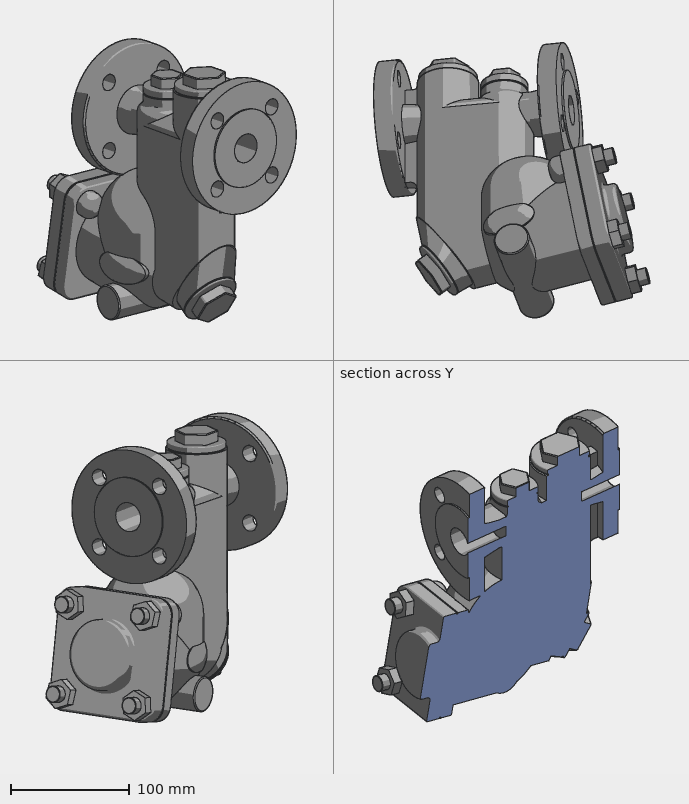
import cadquery as cq
import math

FACE_TO_FACE = 160.0

FLANGE_DIA = 115.0
FLANGE_THICKNESS = 16.5
FLANGE_EDGE_FILLET = 1.5
RAISED_FACE_DIA = 68.0
RAISED_FACE_HEIGHT = 1.6
BOLT_CIRCLE_DIA = 85.0
BOLT_HOLE_DIA = 14.0
BOLT_HOLE_COUNT = 4
BORE_DIA = 25.0
BORE_DEPTH = 40.0
FLANGE_BACK = RAISED_FACE_HEIGHT + FLANGE_THICKNESS

INLET_NECK_FLANGE_RADIUS = 21.3
INLET_NECK_COLUMN_RADIUS = 19.0
OUTLET_NECK_FLANGE_RADIUS = 19.5
OUTLET_NECK_COLUMN_RADIUS = 14.5

RIB_THICKNESS = 9.4
RIB_TOP = 33.5
RIB_BOTTOM = -57.0
RIB_TOP_FILLET = 2.0
RIB_BOTTOM_FILLET = 6.0

INLET_COLUMN_X = 57.7
INLET_COLUMN_RADIUS = 25.0
INLET_SHOULDER_BOTTOM = 7.8
INLET_SHOULDER_MIDDLE = 13.8
INLET_SHOULDER_TOP = 17.2
INLET_SHOULDER_MIDDLE_RADIUS = 22.0
INLET_TOP_RADIUS = 20.0
INLET_COLUMN_TOP = 24.4
OUTLET_COLUMN_X = 106.0
OUTLET_COLUMN_RADIUS = 26.0
OUTLET_COLUMN_TOP = 38.7
WEB_BOTTOM = -133.0
WEB_CROWN_HEIGHT = 14.5

SMALL_COLLAR_HEIGHT = 7.2
SMALL_HEX_ACROSS_FLATS = 24.0
LARGE_COLLAR_DIA = 50.0
LARGE_COLLAR_HEIGHT = 5.9
LARGE_HEX_ACROSS_FLATS = 32.0
HEX_HEIGHT = 9.4
HEX_CORNER_FILLET = 2.2
HEX_TOP_CHAMFER = 0.8
GASKET_HEIGHT = 0.8
GASKET_INSET = 0.8
COLLAR_FILLET = 1.0

BODY_RADIUS = 44.0
BODY_X = 36.3
DOME_Z = -91.8
TILT = 10.0
BODY_CENTRE_TO_JOINT = 57.3
BODY_CENTRE_Z = -124.6
OUTLET_DUCT_RADIUS = 26.7

BULGE_X = 46.0
BULGE_HALF_LENGTH = 23.0
BULGE_HALF_HEIGHT = 13.3
BULGE_REACH = 46.7
BULGE_LIP_RADIUS = 43.0
BULGE_TILT = 5.0

DRAIN_DIA = 30.0
DRAIN_X = 39.9
DRAIN_Z = -155.0
DRAIN_FRONT_Y = -50.0
DRAIN_BACK_Y = 57.98
DRAIN_CHAMFER = 1.0

COVER_SIZE = 105.0
COVER_CORNER_RADIUS = 14.0
COVER_THICKNESS = 14.3
COVER_EDGE_FILLET = 1.8
BODY_FLANGE_THICKNESS = 12.0
JOINT_GAP = 1.0
COVER_BOSS_DIA = 60.0
COVER_BOSS_HEIGHT = 11.2
COVER_BOSS_FILLET = 3.0
STUD_SPACING = 76.0
STUD_DIA = 14.0
STUD_PROJECTION = 8.5
STUD_CHAMFER = 0.5
NUT_ACROSS_FLATS = 22.0
NUT_HEIGHT = 8.5
NUT_TURN = 38.0
LUG_RADIUS = 11.6
LUG_LENGTH = 25.0
LUG_FILLET = 8.0

STRAINER_TILT = 36.0
STRAINER_BASE_X = 102.0
STRAINER_BASE_Z = -134.7
STRAINER_LOFT_LENGTH = 13.0
STRAINER_COLLAR_HEIGHT = 3.4
STRAINER_HEX_ACROSS_FLATS = 34.0
STRAINER_BASE_OFFSET = 12.2
STRAINER_BASE_HALF_LENGTH = 40.0

tilt_sin = math.sin(math.radians(TILT))
tilt_cos = math.cos(math.radians(TILT))
strainer_sin = math.sin(math.radians(STRAINER_TILT))
strainer_cos = math.cos(math.radians(STRAINER_TILT))

joint_plane = cq.Plane(
    origin=(
        BODY_X - BODY_CENTRE_TO_JOINT * tilt_cos,
        0,
        BODY_CENTRE_Z + BODY_CENTRE_TO_JOINT * tilt_sin,
    ),
    xDir=(0, -1, 0),
    normal=(-tilt_cos, 0, tilt_sin),
)
strainer_plane = cq.Plane(
    origin=(STRAINER_BASE_X, 0, STRAINER_BASE_Z),
    xDir=(strainer_sin, 0, strainer_cos),
    normal=(strainer_cos, 0, -strainer_sin),
)


def upright_plane(x, z):
    """Plane facing +Z, centred on a column axis."""
    return cq.Workplane("XY", origin=(x, 0, z))


def pipe_face(x_face, inward):
    """Workplane on a pipe face; inward is +1 or -1, the X direction into the part."""
    return cq.Workplane(cq.Plane(origin=(x_face, 0, 0), xDir=(0, 1, 0), normal=(inward, 0, 0)))


def pipe_flange(x_face, inward):
    start = pipe_face(x_face, inward)
    disc = start.workplane(offset=RAISED_FACE_HEIGHT).circle(FLANGE_DIA / 2).extrude(FLANGE_THICKNESS)
    disc = disc.faces(cq.selectors.DirectionMinMaxSelector(cq.Vector(inward, 0, 0))).edges()
    disc = disc.fillet(FLANGE_EDGE_FILLET)
    raised_face = start.circle(RAISED_FACE_DIA / 2).extrude(RAISED_FACE_HEIGHT)
    holes = (
        start.polarArray(BOLT_CIRCLE_DIA / 2, 180 / BOLT_HOLE_COUNT, 360, BOLT_HOLE_COUNT)
        .circle(BOLT_HOLE_DIA / 2)
        .extrude(FLANGE_BACK)
    )
    return disc.union(raised_face).cut(holes)


def pipe_bore(x_face, inward):
    return pipe_face(x_face, inward).circle(BORE_DIA / 2).extrude(BORE_DEPTH)


def cone_along_x(x_start, radius_start, x_end, radius_end):
    profile = (
        cq.Workplane("XZ")
        .moveTo(x_start, 0)
        .lineTo(x_start, radius_start)
        .lineTo(x_end, radius_end)
        .lineTo(x_end, 0)
        .close()
    )
    return profile.revolve(360, (0, 0, 0), (1, 0, 0))


def necks_and_rib():
    inlet_waist = INLET_COLUMN_X - INLET_COLUMN_RADIUS
    inlet = cone_along_x(FLANGE_BACK, INLET_NECK_FLANGE_RADIUS, inlet_waist, INLET_NECK_COLUMN_RADIUS)
    inlet_tail = cone_along_x(inlet_waist, INLET_NECK_COLUMN_RADIUS, INLET_COLUMN_X, INLET_NECK_COLUMN_RADIUS)
    outlet_back = FACE_TO_FACE - FLANGE_BACK
    outlet = cone_along_x(OUTLET_COLUMN_X, OUTLET_NECK_COLUMN_RADIUS, outlet_back, OUTLET_NECK_FLANGE_RADIUS)
    column_edge = OUTLET_COLUMN_X + OUTLET_COLUMN_RADIUS
    rib = (
        cq.Workplane("XZ", origin=(0, RIB_THICKNESS / 2, 0))
        .moveTo(OUTLET_COLUMN_X, RIB_BOTTOM - RIB_BOTTOM_FILLET)
        .lineTo(column_edge, RIB_BOTTOM - RIB_BOTTOM_FILLET)
        .radiusArc((column_edge + RIB_BOTTOM_FILLET, RIB_BOTTOM), RIB_BOTTOM_FILLET)
        .lineTo(outlet_back, RIB_BOTTOM)
        .lineTo(outlet_back, RIB_TOP)
        .lineTo(column_edge + RIB_TOP_FILLET, RIB_TOP)
        .radiusArc((column_edge, RIB_TOP + RIB_TOP_FILLET), RIB_TOP_FILLET)
        .lineTo(OUTLET_COLUMN_X, RIB_TOP + RIB_TOP_FILLET)
        .close()
        .extrude(RIB_THICKNESS)
    )
    return inlet.union(inlet_tail).union(outlet).union(rib)


def inlet_column():
    profile = (
        cq.Workplane("XZ")
        .moveTo(0, DOME_Z)
        .lineTo(INLET_COLUMN_RADIUS, DOME_Z)
        .lineTo(INLET_COLUMN_RADIUS, INLET_SHOULDER_BOTTOM)
        .tangentArcPoint((INLET_SHOULDER_MIDDLE_RADIUS, INLET_SHOULDER_MIDDLE), relative=False)
        .tangentArcPoint((INLET_TOP_RADIUS, INLET_SHOULDER_TOP), relative=False)
        .lineTo(INLET_TOP_RADIUS, INLET_COLUMN_TOP)
        .lineTo(0, INLET_COLUMN_TOP)
        .close()
    )
    return profile.revolve(360, (0, 0, 0), (0, 1, 0)).translate((INLET_COLUMN_X, 0, 0))


def column_web():
    """Tangent web wrapped around both columns, ended by the outlet duct and the strainer plane."""
    spacing = OUTLET_COLUMN_X - INLET_COLUMN_X
    lean = (OUTLET_COLUMN_RADIUS - INLET_COLUMN_RADIUS) / spacing
    rise = math.sqrt(1 - lean**2)
    inlet_tangent_x = INLET_COLUMN_X - INLET_COLUMN_RADIUS * lean
    inlet_tangent_y = INLET_COLUMN_RADIUS * rise
    outlet_tangent_x = OUTLET_COLUMN_X - OUTLET_COLUMN_RADIUS * lean
    outlet_tangent_y = OUTLET_COLUMN_RADIUS * rise
    outline = cq.Workplane("XY", origin=(0, 0, WEB_BOTTOM)).polyline(
        [
            (inlet_tangent_x, -inlet_tangent_y),
            (outlet_tangent_x, -outlet_tangent_y),
            (outlet_tangent_x, outlet_tangent_y),
            (inlet_tangent_x, inlet_tangent_y),
        ]
    )
    web = outline.close().extrude(-WEB_BOTTOM)
    crown = (
        cq.Workplane("YZ", origin=(INLET_COLUMN_X, 0, 0))
        .ellipse(INLET_COLUMN_RADIUS, WEB_CROWN_HEIGHT)
        .workplane(offset=spacing)
        .ellipse(OUTLET_COLUMN_RADIUS, WEB_CROWN_HEIGHT)
        .loft(combine=True)
    )
    return web.union(crown)


def outlet_column():
    depth = OUTLET_COLUMN_TOP - STRAINER_BASE_Z
    return upright_plane(OUTLET_COLUMN_X, STRAINER_BASE_Z).circle(OUTLET_COLUMN_RADIUS).extrude(depth)


def plug(plane, collar_dia, collar_height, across_flats):
    """Gasket, round collar and hexagon head stacked along the plane normal."""
    start = cq.Workplane(plane)
    gasket = start.circle(collar_dia / 2 - GASKET_INSET).extrude(GASKET_HEIGHT)
    collar = start.workplane(offset=GASKET_HEIGHT).circle(collar_dia / 2)
    collar = collar.extrude(collar_height - GASKET_HEIGHT)
    collar = collar.faces(cq.selectors.DirectionMinMaxSelector(plane.zDir)).edges().fillet(COLLAR_FILLET)
    head = plug_head(start.workplane(offset=collar_height), across_flats)
    return gasket.union(collar).union(head)


def hexagon(start, across_flats, height):
    """Plain hexagon prism on the given workplane, two of its corners on the local X axis."""
    across_corners = across_flats / math.cos(math.pi / 6)
    return start.polygon(6, across_corners).extrude(height)


def plug_head(start, across_flats):
    """Hexagon head with rounded corners and a chamfered top edge."""
    axis = start.plane.zDir
    head = hexagon(start, across_flats, HEX_HEIGHT)
    head = head.edges(cq.selectors.ParallelDirSelector(axis)).fillet(HEX_CORNER_FILLET)
    return head.faces(cq.selectors.DirectionMinMaxSelector(axis)).edges().chamfer(HEX_TOP_CHAMFER)


def column_plugs():
    small_plane = cq.Plane(origin=(INLET_COLUMN_X, 0, INLET_COLUMN_TOP))
    small = plug(small_plane, 2 * INLET_TOP_RADIUS, SMALL_COLLAR_HEIGHT, SMALL_HEX_ACROSS_FLATS)
    large_plane = cq.Plane(origin=(OUTLET_COLUMN_X, 0, OUTLET_COLUMN_TOP))
    large = plug(large_plane, LARGE_COLLAR_DIA, LARGE_COLLAR_HEIGHT, LARGE_HEX_ACROSS_FLATS)
    return small.union(large)


def trap_body():
    """Domed vertical barrel crossing a tilted barrel, with a sphere at the crossing."""
    dome = cq.Workplane("XY").sphere(BODY_RADIUS).translate((BODY_X, 0, DOME_Z))
    barrel = upright_plane(BODY_X, BODY_CENTRE_Z).circle(BODY_RADIUS).extrude(DOME_Z - BODY_CENTRE_Z)
    knuckle = cq.Workplane("XY").sphere(BODY_RADIUS).translate((BODY_X, 0, BODY_CENTRE_Z))
    tilted_barrel = cq.Workplane(joint_plane).circle(BODY_RADIUS).extrude(-BODY_CENTRE_TO_JOINT)
    return barrel.union(dome).union(tilted_barrel).union(knuckle)


def outlet_duct():
    length = OUTLET_COLUMN_X - BODY_X
    start = cq.Workplane(joint_plane).workplane(offset=-BODY_CENTRE_TO_JOINT)
    return start.circle(OUTLET_DUCT_RADIUS).extrude(-length)


def bulges():
    """Oval swellings, one on each side, cut from a slightly tilted round-edged disc."""
    disc = (
        cq.Workplane("XZ")
        .moveTo(0, -BULGE_HALF_HEIGHT)
        .lineTo(BULGE_LIP_RADIUS, -BULGE_HALF_HEIGHT)
        .threePointArc((BULGE_REACH, 0), (BULGE_LIP_RADIUS, BULGE_HALF_HEIGHT))
        .lineTo(0, BULGE_HALF_HEIGHT)
        .close()
        .revolve(360, (0, 0, 0), (0, 1, 0))
        .rotate((0, 0, 0), (0, 1, 0), BULGE_TILT)
        .translate((BODY_X, 0, BODY_CENTRE_Z))
    )
    oval = cq.Workplane("XZ").ellipse(BULGE_HALF_LENGTH, BULGE_HALF_HEIGHT)
    oval = oval.extrude(BULGE_REACH, both=True).rotate((0, 0, 0), (0, 1, 0), BULGE_TILT)
    return disc.intersect(oval.translate((BULGE_X, 0, BODY_CENTRE_Z)))


def drain_boss():
    start = cq.Workplane("XZ", origin=(DRAIN_X, DRAIN_FRONT_Y, DRAIN_Z))
    boss = start.circle(DRAIN_DIA / 2).extrude(DRAIN_FRONT_Y - DRAIN_BACK_Y)
    return boss.faces("<Y or >Y").edges().chamfer(DRAIN_CHAMFER)


def square_plate(offset, size, thickness):
    plate = cq.Workplane(joint_plane).workplane(offset=offset).rect(size, size).extrude(thickness)
    inset = (COVER_SIZE - size) / 2
    return plate.edges(cq.selectors.ParallelDirSelector(joint_plane.zDir)).fillet(COVER_CORNER_RADIUS - inset)


def cover_assembly():
    outward = cq.selectors.DirectionMinMaxSelector(joint_plane.zDir)
    inward = cq.selectors.DirectionMinMaxSelector(joint_plane.zDir, directionMax=False)
    half_gap = JOINT_GAP / 2
    gasket = square_plate(-half_gap, COVER_SIZE - 2 * JOINT_GAP, JOINT_GAP)
    body_flange = square_plate(-half_gap - BODY_FLANGE_THICKNESS, COVER_SIZE, BODY_FLANGE_THICKNESS)
    body_flange = body_flange.faces(inward).edges().fillet(COVER_EDGE_FILLET)
    cover = square_plate(half_gap, COVER_SIZE, COVER_THICKNESS)
    cover = cover.faces(outward).edges().fillet(COVER_EDGE_FILLET)

    cover_face = half_gap + COVER_THICKNESS
    rim = COVER_BOSS_DIA / 2
    fillet = COVER_BOSS_FILLET
    boss_profile = (
        cq.Workplane("XZ")
        .moveTo(0, cover_face)
        .lineTo(rim + fillet, cover_face)
        .radiusArc((rim, cover_face + fillet), fillet)
        .lineTo(rim, cover_face + COVER_BOSS_HEIGHT - fillet)
        .radiusArc((rim - fillet, cover_face + COVER_BOSS_HEIGHT), -fillet)
        .lineTo(0, cover_face + COVER_BOSS_HEIGHT)
        .close()
    )
    boss = boss_profile.revolve(360, (0, 0, 0), (0, 1, 0)).val().moved(cq.Location(joint_plane))
    assembly = body_flange.union(gasket).union(cover).union(boss)

    half_spacing = STUD_SPACING / 2
    nut_top = cover_face + NUT_HEIGHT
    for side in (-half_spacing, half_spacing):
        for level in (-half_spacing, half_spacing):
            centre = cq.Workplane(joint_plane).center(side, level)
            turn = math.copysign(NUT_TURN, -side * level)
            nut_seat = centre.workplane(offset=cover_face).transformed(rotate=(0, 0, turn))
            nut = hexagon(nut_seat, NUT_ACROSS_FLATS, NUT_HEIGHT)
            stud = centre.workplane(offset=nut_top).circle(STUD_DIA / 2).extrude(STUD_PROJECTION)
            stud = stud.faces(outward).edges().chamfer(STUD_CHAMFER)
            assembly = assembly.union(nut).union(stud)
        lug = cq.Workplane(joint_plane).center(side, half_spacing).circle(LUG_RADIUS).extrude(-LUG_LENGTH)
        lug = lug.faces(inward).edges().fillet(LUG_FILLET)
        assembly = assembly.union(lug)
    return assembly


def trim_behind_strainer(shape):
    """Remove everything on the outer side of the strainer start plane."""
    reach = 3 * OUTLET_COLUMN_RADIUS
    outer_side = cq.Workplane(strainer_plane).circle(reach).extrude(reach)
    return shape.cut(outer_side)


def strainer_branch():
    foot = (
        cq.Workplane(strainer_plane)
        .center(STRAINER_BASE_OFFSET, 0)
        .ellipse(STRAINER_BASE_HALF_LENGTH, OUTLET_COLUMN_RADIUS)
        .workplane(offset=STRAINER_LOFT_LENGTH)
        .center(-STRAINER_BASE_OFFSET, 0)
        .circle(LARGE_COLLAR_DIA / 2)
        .loft(combine=True)
    )
    seat = cq.Plane(
        origin=strainer_plane.toWorldCoords((0, 0, STRAINER_LOFT_LENGTH)).toTuple(),
        xDir=strainer_plane.xDir,
        normal=strainer_plane.zDir,
    )
    return foot.union(plug(seat, LARGE_COLLAR_DIA, STRAINER_COLLAR_HEIGHT, STRAINER_HEX_ACROSS_FLATS))


columns = inlet_column().union(outlet_column()).union(column_web()).union(outlet_duct())
result = trim_behind_strainer(columns).union(necks_and_rib())
result = result.union(trap_body()).union(bulges()).union(drain_boss())
result = result.union(strainer_branch()).union(column_plugs()).union(cover_assembly())
for face_x, direction in ((0, 1), (FACE_TO_FACE, -1)):
    result = result.union(pipe_flange(face_x, direction)).cut(pipe_bore(face_x, direction))